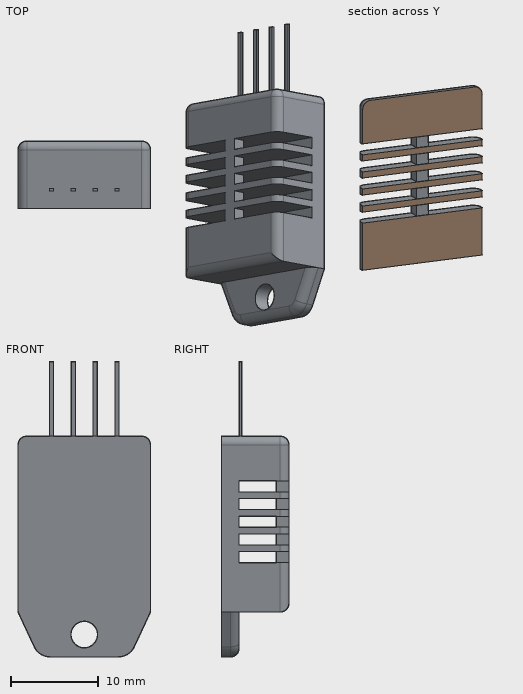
import cadquery as cq

total_height = 33.6
housing_width = 15.1
housing_depth = 7.7

tab_height = 5.1
tab_depth = 2.0
box_height = 20.03
edge_radius = 1.0
housing_top = tab_height + box_height

tab_taper = 2.4
tab_corner_radius = 2.0
hole_diameter = 3.0
hole_height = 2.55

slot_count = 5
slot_height = 1.25
slot_pitch = 2.0
lowest_slot_center = 11.35
slot_front = tab_depth
bar_depth = 1.48
bar_width = bar_depth

pin_count = 4
pin_pitch = 2.5
pin_width = 0.5
pin_depth = 0.3
pin_front = 2.0
pin_length = total_height - housing_top


def make_box():
    """Box with rounded top side edges and a rounded rim around its back face."""
    box = cq.Workplane("XY").box(housing_width, housing_depth, box_height, centered=(True, False, False))
    box = box.edges("|Y and >Z").fillet(edge_radius)
    box = box.faces(">Y").edges().fillet(edge_radius)
    return box.translate((0, 0, tab_height))


def make_tab():
    """Tapered tab with rounded lower corners and a rounded back rim."""
    top_half = housing_width / 2
    bottom_half = top_half - tab_taper
    outline = [
        (-top_half, tab_height),
        (-bottom_half, 0),
        (bottom_half, 0),
        (top_half, tab_height),
    ]
    tab = cq.Workplane("XZ").polyline(outline).close().extrude(-tab_depth)
    tab = tab.edges("|Y and <Z").fillet(tab_corner_radius)
    return tab.faces(">Y").edges("not >Z").fillet(edge_radius)


def make_screw_hole():
    """Cutter for the round hole through the tab."""
    return (
        cq.Workplane("XZ")
        .center(0, hole_height)
        .circle(hole_diameter / 2)
        .extrude(-tab_depth)
    )


def make_slot(center_height):
    """Cutter for one vent slot, leaving the central bar at the back."""
    slot_depth = housing_depth - slot_front
    slot = cq.Workplane("XY").box(
        housing_width, slot_depth, slot_height, centered=(True, False, True)
    )
    bar = (
        cq.Workplane("XY")
        .box(bar_width, bar_depth, slot_height, centered=(True, False, True))
        .translate((0, slot_depth - bar_depth, 0))
    )
    return slot.cut(bar).translate((0, slot_front, center_height))


def make_housing():
    body = make_box().union(make_tab()).cut(make_screw_hole())
    for i in range(slot_count):
        body = body.cut(make_slot(lowest_slot_center + i * slot_pitch))
    return body


def make_pin(center_x):
    """One rectangular contact pin resting on the top face."""
    return (
        cq.Workplane("XY")
        .box(pin_width, pin_depth, pin_length, centered=(True, False, False))
        .translate((center_x, pin_front, housing_top))
    )


housing = make_housing()

first_pin_x = -pin_pitch * (pin_count - 1) / 2
pins = [make_pin(first_pin_x + i * pin_pitch) for i in range(pin_count)]

result = cq.Compound.makeCompound([housing.val(), *[pin.val() for pin in pins]])